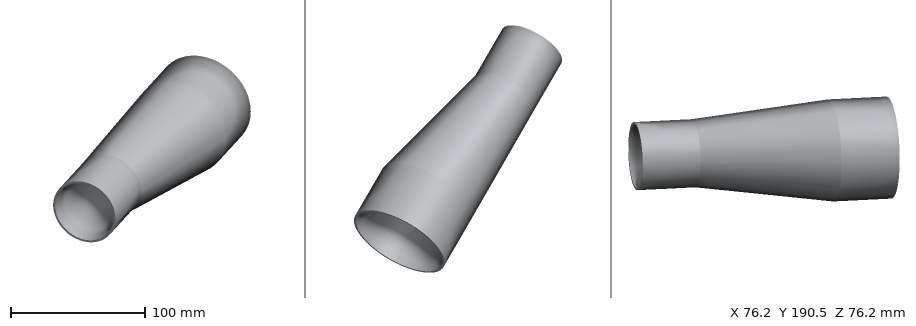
import cadquery as cq

length = 190.5
large_diameter = 76.2
small_diameter = 50.9
wall = 1.65
collar_length = 44.4
cone_length = length - 2 * collar_length

large_center_x = 0.0
small_center_x = (small_diameter - large_diameter) / 2

small_end_y = -length / 2
cone_start_y = small_end_y + collar_length


def circle_at(y, center_x, radius):
    """Circle in the plane across the tube at the given Y, facing +Y."""
    plane = cq.Plane(origin=(center_x, y, 0), xDir=(1, 0, 0), normal=(0, 1, 0))
    return cq.Workplane(plane).circle(radius)


def reducer_body(inset):
    """Solid reducer shape with every radius reduced by the inset."""
    small_radius = small_diameter / 2 - inset
    large_radius = large_diameter / 2 - inset
    small_collar = circle_at(small_end_y, small_center_x, small_radius).extrude(collar_length)
    cone = (
        circle_at(cone_start_y, small_center_x, small_radius)
        .workplane(offset=cone_length)
        .center(large_center_x - small_center_x, 0)
        .circle(large_radius)
        .loft(ruled=True)
    )
    large_collar = circle_at(cone_start_y + cone_length, large_center_x, large_radius).extrude(collar_length)
    return small_collar.union(cone).union(large_collar)


result = reducer_body(0).cut(reducer_body(wall))